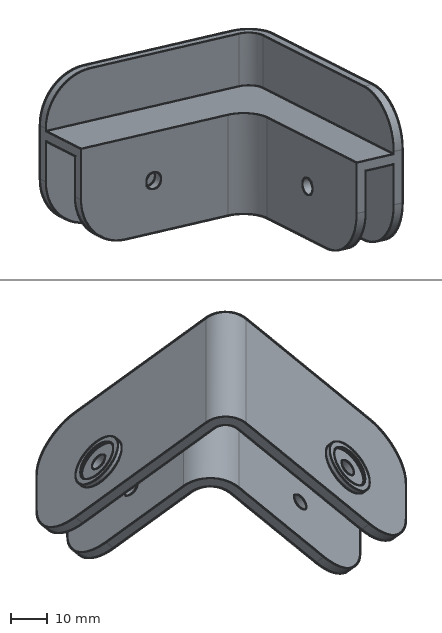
import cadquery as cq

overall_length = 72.5
height = 44.4
boss_height = 1.45
leg_length = overall_length - boss_height

wall = 3.0
web_top = 29.2
x_leg_width = 15.15
y_leg_width = 20.0
outer_bend_radius = 7.7
inner_bend_radius = outer_bend_radius - wall
inside_corner_radius = 7.7
end_radius = 14.5

hole_diameter = 4.85
boss_diameter = 15.9
recess_diameter = 12.3
recess_depth = 0.7
pivot_from_end = 23.85
pivot_along_leg = leg_length - pivot_from_end
pivot_height = 15.15


def angle_block(inset, x_leg_inner, y_leg_inner, bend_radius, inside_radius, bottom, top):
    """L-shaped block, its outer faces inset from the corner, with rounded bends."""
    block = (
        cq.Workplane("XY", origin=(0, 0, bottom))
        .moveTo(inset, -inset)
        .lineTo(leg_length, -inset)
        .lineTo(leg_length, -x_leg_inner)
        .lineTo(y_leg_inner, -x_leg_inner)
        .lineTo(y_leg_inner, -leg_length)
        .lineTo(inset, -leg_length)
        .close()
        .extrude(top - bottom)
    )
    outer_bend = cq.selectors.NearestToPointSelector((inset, -inset, (bottom + top) / 2))
    inside_corner = cq.selectors.NearestToPointSelector(
        (y_leg_inner, -x_leg_inner, (bottom + top) / 2)
    )
    block = block.edges("|Z").edges(outer_bend).fillet(bend_radius)
    return block.edges("|Z").edges(inside_corner).fillet(inside_radius)


def leg_profile(plane, depth):
    """Prism with the side outline of a leg, rounded at its free end."""
    return (
        plane.moveTo(0, 0)
        .lineTo(leg_length - end_radius, 0)
        .radiusArc((leg_length, end_radius), -end_radius)
        .lineTo(leg_length, height - end_radius)
        .radiusArc((leg_length - end_radius, height), -end_radius)
        .lineTo(0, height)
        .close()
        .extrude(depth)
    )


def pivot_disc(plane, diameter, depth):
    """Disc on the pivot axis, starting at the given plane."""
    return plane.center(pivot_along_leg, pivot_height).circle(diameter / 2).extrude(depth)


body = angle_block(
    0, x_leg_width, y_leg_width, outer_bend_radius, inside_corner_radius, 0, height
)
upper_space = angle_block(
    wall, x_leg_width, y_leg_width, inner_bend_radius, inside_corner_radius, web_top, height
)
channel = angle_block(
    wall,
    x_leg_width - wall,
    y_leg_width - wall,
    inner_bend_radius,
    inside_corner_radius + wall,
    0,
    web_top - wall,
)
result = body.cut(upper_space).cut(channel)

x_leg = (cq.Plane(origin=(0, 0, 0), xDir=(1, 0, 0), normal=(0, -1, 0)), x_leg_width, 1)
y_leg = (cq.Plane(origin=(0, 0, 0), xDir=(0, -1, 0), normal=(-1, 0, 0)), y_leg_width, -1)

for plane, leg_width, inward in (x_leg, y_leg):
    result = result.intersect(leg_profile(cq.Workplane(plane), inward * leg_length))

for plane, leg_width, inward in (x_leg, y_leg):
    wall_face = cq.Workplane(plane)
    boss_face = wall_face.workplane(offset=-inward * boss_height)
    result = result.union(pivot_disc(wall_face, boss_diameter, -inward * boss_height))
    result = result.cut(pivot_disc(boss_face, recess_diameter, inward * recess_depth))
    result = result.cut(pivot_disc(boss_face, hole_diameter, inward * (boss_height + leg_width)))